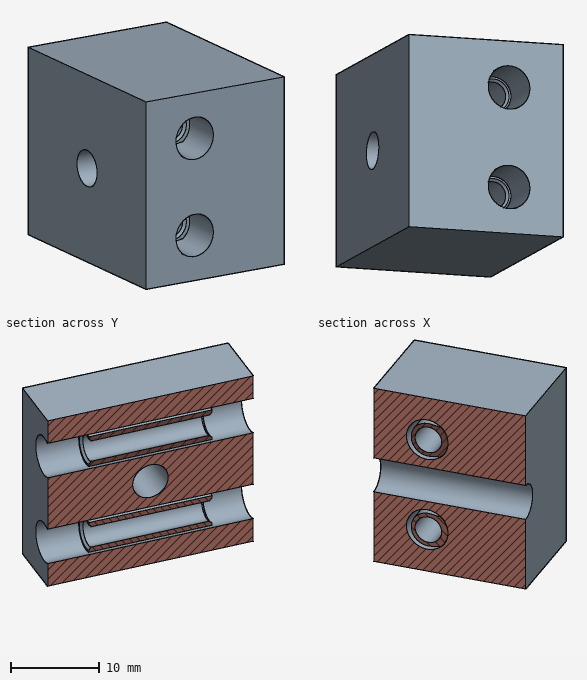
import cadquery as cq
import math

LENGTH = 25.2
DEPTH = 18.5
HEIGHT = 22.2

MOUNT_HOLE_DIAMETER = 4.28
WIRE_HOLE_DIAMETER = 5.0
WIRE_HOLE_Y = 6.5
WIRE_HOLE_PITCH = 11.5

TERMINAL_LENGTH = 15.12
TERMINAL_DIAMETER = 4.23
TERMINAL_Y_OFFSET = 0.15
TERMINAL_TAPER = math.radians(8.0)
TERMINAL_BORE_DIAMETER = 3.18
BORE_CHAMFER = 0.3

WIRE_HOLE_HEIGHTS = (-WIRE_HOLE_PITCH / 2, WIRE_HOLE_PITCH / 2)


def cross_section(start_x, y, z):
    """Workplane facing +X, with local x pointing down and local y along +Y."""
    return cq.Workplane(cq.Plane(origin=(start_x, y, z), xDir=(0, 0, -1), normal=(1, 0, 0)))


def wire_hole(z):
    return cross_section(-LENGTH / 2, WIRE_HOLE_Y, z).circle(WIRE_HOLE_DIAMETER / 2).extrude(LENGTH)


def mount_hole():
    front = cq.Plane(origin=(0, 0, 0), xDir=(0, 0, -1), normal=(0, 1, 0))
    return cq.Workplane(front).circle(MOUNT_HOLE_DIAMETER / 2).extrude(DEPTH)


def make_housing():
    block = cq.Workplane("XY").box(LENGTH, DEPTH, HEIGHT).translate((0, DEPTH / 2, 0))
    block = block.cut(mount_hole())
    for z in WIRE_HOLE_HEIGHTS:
        block = block.cut(wire_hole(z))
    return block


def make_terminal(z):
    """Round toward -Y, with tangent sides that narrow until they meet the wire hole wall."""
    radius = TERMINAL_DIAMETER / 2
    tangent_half_width = radius * math.cos(TERMINAL_TAPER)
    tangent_reach = radius * math.sin(TERMINAL_TAPER)
    outer_reach = WIRE_HOLE_DIAMETER / 2
    outer_half_width = tangent_half_width - (outer_reach - tangent_reach) * math.tan(TERMINAL_TAPER)

    axis_y = WIRE_HOLE_Y + TERMINAL_Y_OFFSET
    plane = cross_section(-TERMINAL_LENGTH / 2, axis_y, z)
    sleeve = (
        plane.moveTo(-outer_half_width, outer_reach)
        .lineTo(-tangent_half_width, tangent_reach)
        .threePointArc((0, -radius), (tangent_half_width, tangent_reach))
        .lineTo(outer_half_width, outer_reach)
        .close()
        .extrude(TERMINAL_LENGTH)
        .intersect(wire_hole(z))
    )
    bore = plane.circle(TERMINAL_BORE_DIAMETER / 2).extrude(TERMINAL_LENGTH)
    return sleeve.cut(bore).edges(cq.selectors.RadiusNthSelector(0)).chamfer(BORE_CHAMFER)


housing = make_housing()
terminals = [make_terminal(z) for z in WIRE_HOLE_HEIGHTS]

result = cq.Compound.makeCompound([housing.val(), *[terminal.val() for terminal in terminals]])